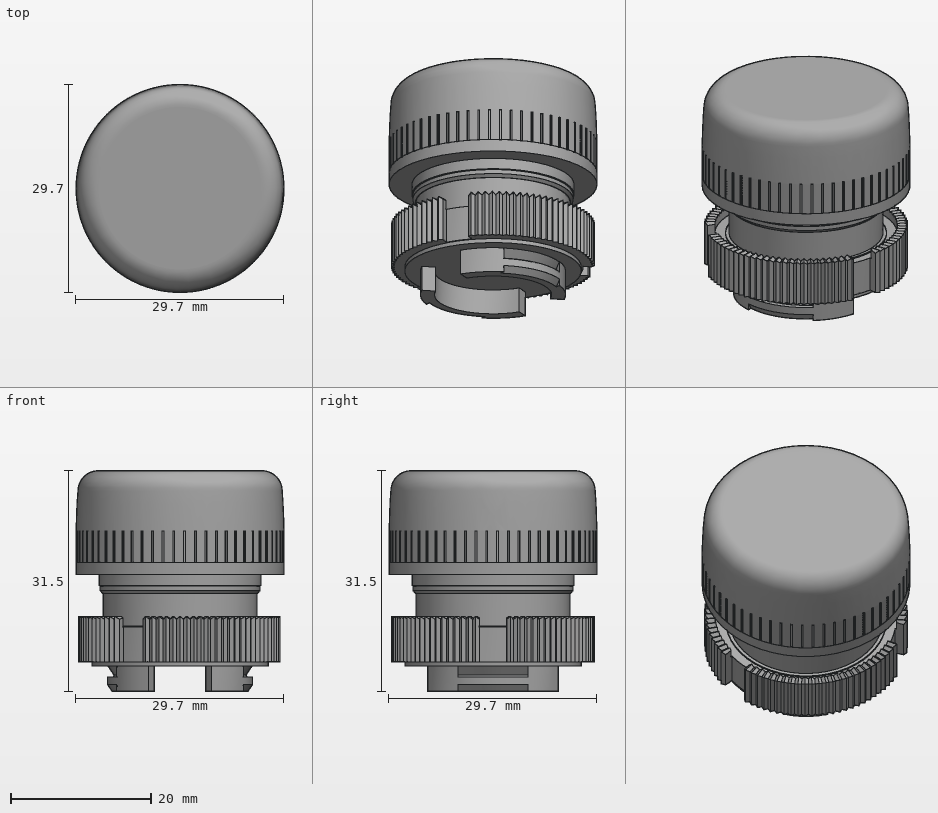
import cadquery as cq
import math


CAP_RADIUS = 14.85
CROWN_RADIUS = 14.6
CROWN_ROUND = 3.0
KNURL_TOP = 6.25
CROWN_START = 12.0
CAP_TOP = 14.85
KNURL_COUNT = 60
KNURL_START_ANGLE = 2.5
KNURL_WIDTH = 0.26
KNURL_DEPTH = 0.15

RIM_RADIUS = CAP_RADIUS
RIM_HEIGHT = 1.75
SPIGOT_RADIUS = 11.57
SPIGOT_LENGTH = 1.55
SHANK_RADIUS = 11.0
FLANGE_RADIUS = 12.6
FLANGE_THICKNESS = 0.6

GASKET_RADIUS = 11.45
GASKET_TIP_RADIUS = 11.07
GASKET_TOP = -1.65
GASKET_CHAMFER_TOP = -2.25
GASKET_BOTTOM = -2.7

LUG_HEIGHT = 3.6
LUG_OUTER_RADIUS = 10.37
LUG_INNER_RADIUS = 8.36
LUG_WIDTH = 18.66
LUG_NOTCH_WIDTH = 10.0
LUG_NOTCH_RADIUS = 9.45
LUG_LEDGE_RADIUS = 9.57
LUG_SHOULDER_RADIUS = 10.3
LUG_TIP_RADIUS = 9.72
LUG_NOTCH_HEIGHT = 2.33
LUG_LEDGE_HEIGHT = 2.05
LUG_CHAMFER_HEIGHT = 0.95

NUT_RADIUS = 14.5
NUT_CORE_RADIUS = 12.85
NUT_RECESS_RADIUS = 13.03
NUT_COLLAR_RADIUS = 11.5
NUT_COLLAR_HEIGHT = 0.19
NUT_TOP = -5.95
NUT_HEIGHT = 6.5
NUT_RECESS_DEPTH = 1.54
TOOTH_COUNT = 90
TOOTH_DEPTH = 0.42
NUT_SLOT_WIDTH = 3.9
NUT_SLOT_ANGLES = (0, 120, 240)

NUT_BOTTOM = NUT_TOP - NUT_HEIGHT
NUT_FLOOR = NUT_TOP - NUT_RECESS_DEPTH
FLANGE_BOTTOM = NUT_BOTTOM - FLANGE_THICKNESS
LUG_BOTTOM = FLANGE_BOTTOM - LUG_HEIGHT
TOOTH_PITCH_ANGLE = 360.0 / TOOTH_COUNT


def disc(radius, bottom, height):
    """Cylinder on the Z axis."""
    return cq.Workplane("XY").workplane(offset=bottom).circle(radius).extrude(height)


def tube(outer_radius, inner_radius, bottom, height):
    """Hollow cylinder on the Z axis."""
    return disc(outer_radius, bottom, height).cut(disc(inner_radius, bottom, height))


def make_cap():
    """Domed cap whose lower band carries fine axial grooves."""
    top_flat_radius = CROWN_RADIUS - CROWN_ROUND
    round_middle = (
        top_flat_radius + CROWN_ROUND * math.cos(math.pi / 4),
        CROWN_START + (CAP_TOP - CROWN_START) * math.sin(math.pi / 4),
    )
    wall_lean = CAP_RADIUS - CROWN_RADIUS
    wall_middle = (CAP_RADIUS - wall_lean / 3, (KNURL_TOP + CROWN_START) / 2)
    cap = (
        cq.Workplane("XZ")
        .moveTo(0, RIM_HEIGHT)
        .lineTo(CAP_RADIUS, RIM_HEIGHT)
        .lineTo(CAP_RADIUS, KNURL_TOP)
        .threePointArc(wall_middle, (CROWN_RADIUS, CROWN_START))
        .threePointArc(round_middle, (top_flat_radius, CAP_TOP))
        .lineTo(0, CAP_TOP)
        .close()
        .revolve(360, (0, 0, 0), (0, 1, 0))
    )
    grooves = (
        cq.Workplane("XY")
        .workplane(offset=RIM_HEIGHT)
        .polarArray(CAP_RADIUS, KNURL_START_ANGLE, 360, KNURL_COUNT)
        .rect(2 * KNURL_DEPTH, KNURL_WIDTH)
        .extrude(KNURL_TOP - RIM_HEIGHT)
    )
    return cap.cut(grooves)


def make_gasket():
    """Sealing ring around the shank, chamfered at its lower end."""
    return (
        cq.Workplane("XZ")
        .moveTo(SHANK_RADIUS, GASKET_TOP)
        .lineTo(GASKET_RADIUS, GASKET_TOP)
        .lineTo(GASKET_RADIUS, GASKET_CHAMFER_TOP)
        .lineTo(GASKET_TIP_RADIUS, GASKET_BOTTOM)
        .lineTo(SHANK_RADIUS, GASKET_BOTTOM)
        .close()
        .revolve(360, (0, 0, 0), (0, 1, 0))
    )


def lug_undercut():
    """Groove and lower chamfer across the middle of each lug, as cutting bodies."""
    overrun = 1
    clear_radius = LUG_OUTER_RADIUS + overrun
    groove_and_chamfer = (
        cq.Workplane("XZ", origin=(0, 0, LUG_BOTTOM))
        .polyline([
            (clear_radius, LUG_LEDGE_HEIGHT),
            (LUG_LEDGE_RADIUS, LUG_LEDGE_HEIGHT),
            (LUG_NOTCH_RADIUS, LUG_NOTCH_HEIGHT),
            (LUG_SHOULDER_RADIUS, LUG_HEIGHT),
            (clear_radius, LUG_HEIGHT),
        ])
        .close()
        .polyline([
            (LUG_TIP_RADIUS, 0),
            (LUG_OUTER_RADIUS, LUG_CHAMFER_HEIGHT),
            (clear_radius, LUG_CHAMFER_HEIGHT),
            (clear_radius, 0),
        ])
        .close()
        .revolve(360, (0, 0, 0), (0, 1, 0))
    )
    middle_band = (
        cq.Workplane("XY")
        .workplane(offset=LUG_BOTTOM)
        .rect(2 * clear_radius, LUG_NOTCH_WIDTH)
        .extrude(LUG_HEIGHT)
    )
    return groove_and_chamfer.intersect(middle_band)


def make_lugs():
    """Two arc-shaped lugs on the -X and +X sides, undercut across their middles."""
    ring = tube(LUG_OUTER_RADIUS, LUG_INNER_RADIUS, LUG_BOTTOM, LUG_HEIGHT)
    ring = ring.cut(lug_undercut())

    end_half_width = LUG_WIDTH / 2
    end_x = math.sqrt(LUG_OUTER_RADIUS**2 - end_half_width**2)
    reach = 2
    for side in (1, -1):
        gap = (
            cq.Workplane("XY")
            .workplane(offset=LUG_BOTTOM)
            .polyline([
                (0, 0),
                (reach * end_x, side * reach * end_half_width),
                (-reach * end_x, side * reach * end_half_width),
            ])
            .close()
            .extrude(LUG_HEIGHT)
        )
        ring = ring.cut(gap)
    return ring


def make_base():
    """Rim under the cap, stepped down to a shank with a flange and bayonet lugs at its foot."""
    rim = disc(RIM_RADIUS, 0, RIM_HEIGHT)
    spigot = disc(SPIGOT_RADIUS, -SPIGOT_LENGTH, SPIGOT_LENGTH)
    shank = disc(SHANK_RADIUS, FLANGE_BOTTOM, -FLANGE_BOTTOM)
    flange = disc(FLANGE_RADIUS, FLANGE_BOTTOM, FLANGE_THICKNESS)
    return rim.union(spigot).union(shank).union(flange).union(make_lugs())


def nut_outline():
    """Points of the serrated nut, alternating between V roots and tips."""
    points = []
    for step in range(2 * TOOTH_COUNT):
        angle = math.radians(step * TOOTH_PITCH_ANGLE / 2)
        radius = NUT_RADIUS if step % 2 else NUT_RADIUS - TOOTH_DEPTH
        points.append((radius * math.cos(angle), radius * math.sin(angle)))
    return points


def flat_face(*points):
    """Plane face with the given corners."""
    return cq.Face.makeFromWires(cq.Wire.makePolygon(points, close=True))


def crown_groove(index):
    """V groove across the nut's top edge, a flat-sided wedge tapering towards the axis."""
    def section(radius):
        half_width = radius * math.tan(math.radians(TOOTH_PITCH_ANGLE / 2))
        depth = TOOTH_DEPTH * radius / NUT_RADIUS
        return (
            cq.Vector(radius, -half_width, NUT_TOP),
            cq.Vector(radius, half_width, NUT_TOP),
            cq.Vector(radius, 0, NUT_TOP - depth),
        )

    overrun = 0.5
    inner = section(NUT_CORE_RADIUS)
    outer = section(NUT_RADIUS + overrun)
    faces = [flat_face(*inner), flat_face(*outer)]
    for corner in range(3):
        following = (corner + 1) % 3
        faces.append(flat_face(inner[corner], inner[following], outer[following], outer[corner]))
    groove = cq.Solid.makeSolid(cq.Shell.makeShell(faces))
    return groove.rotate(cq.Vector(0, 0, 0), cq.Vector(0, 0, 1), index * TOOTH_PITCH_ANGLE)


def make_nut():
    """Serrated nut with a recessed top, a collar at its bore and three side slots."""
    nut = (
        cq.Workplane("XY")
        .workplane(offset=NUT_BOTTOM)
        .polyline(nut_outline())
        .close()
        .extrude(NUT_HEIGHT)
    )
    nut = nut.cut(disc(NUT_RECESS_RADIUS, NUT_FLOOR, NUT_RECESS_DEPTH))
    nut = nut.union(disc(NUT_COLLAR_RADIUS, NUT_FLOOR, NUT_COLLAR_HEIGHT))
    nut = nut.cut(disc(SHANK_RADIUS, NUT_BOTTOM, NUT_HEIGHT))

    crown_grooves = [crown_groove(index) for index in range(TOOTH_COUNT)]
    nut = nut.cut(cq.Workplane(cq.Compound.makeCompound(crown_grooves)))

    slot = (
        cq.Workplane("XY")
        .workplane(offset=NUT_BOTTOM)
        .center(NUT_RADIUS / 2, 0)
        .rect(NUT_RADIUS, NUT_SLOT_WIDTH)
        .extrude(NUT_HEIGHT)
        .cut(disc(NUT_CORE_RADIUS, NUT_BOTTOM, NUT_HEIGHT))
    )
    for angle in NUT_SLOT_ANGLES:
        nut = nut.cut(slot.rotate((0, 0, 0), (0, 0, 1), angle))
    return nut


cap = make_cap()
base = make_base()
gasket = make_gasket()
nut = make_nut()

bodies = [body.solids().val() for body in (cap, base, gasket, nut)]
result = cq.Compound.makeCompound(bodies)